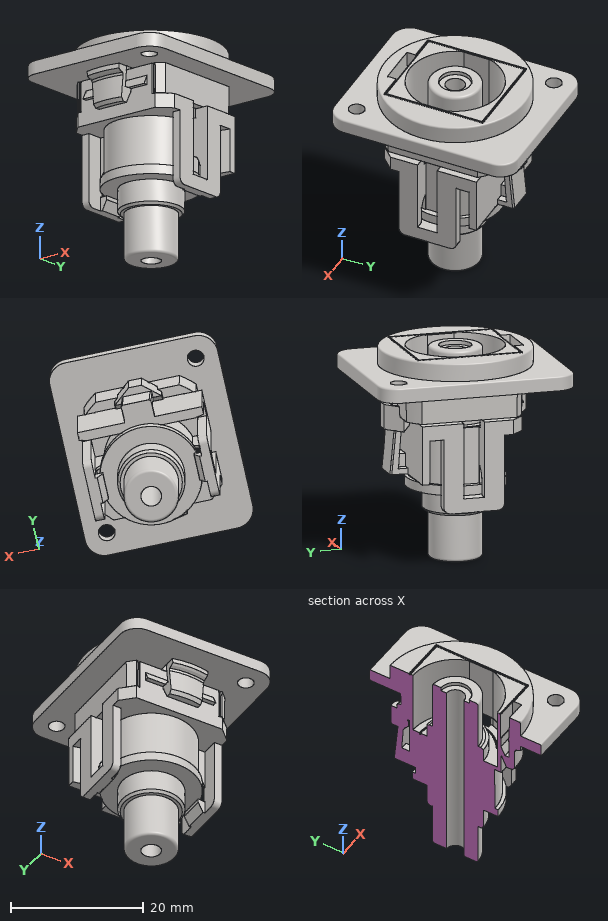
import cadquery as cq
import math


plate_x = 26.0
plate_y = 31.0
plate_thickness = 2.28
plate_corner_radius = 3.0
plate_edge_fillet = 0.3
disc_diameter = 23.63
disc_edge_fillet = 0.3
total_height = 33.0
top_z = 5.05
bottom_z = top_z - total_height
screw_hole_diameter = 2.5
screw_hole_x = 9.5
screw_hole_y = 11.98

housing_half_x = 8.7
housing_back_y = 9.87
housing_corner = 1.12
housing_depth = 4.75
housing_draft = 1.2
carrier_half_x = 9.65
carrier_half_y = 8.25
carrier_corner = 2.05
carrier_top_z = -4.85
carrier_bottom_z = -7.15
front_face_half_x = 6.95
front_groove_width = 0.35
front_groove_depth = 0.33

recess_radius = 7.6
recess_half_x = 7.3
recess_floor_z = -6.27
seam_half_x = 7.6
seam_half_y = 8.3
seam_width = 0.23
seam_depth = 0.15
ring_radius = 6.35
ring_width = 0.2
ring_depth = 0.33
ring_gap_half_angle = 33.0

post_diameter = 8.3
post_top_fillet = 0.5
post_bottom_fillet = 0.45
collar_diameter = 10.2
collar_chamfer = 0.4
collar_shoulder_width = 0.5
collar_shoulder_height = 0.23
collar_bottom_z = -20.5
collar_top_z = -3.95
barrel_radius = 7.15
barrel_flange_diameter = 15.5
barrel_flange_top_z = -15.08
barrel_flange_bottom_z = -16.6
bore_diameter = 3.1
counterbore_diameter = 5.0
counterbore_depth = 0.63

leg_thickness = 1.4
leg_half_width = 4.82
leg_bottom_z = -18.8
leg_corner_radius = 1.05
leg_slot_half_width = 1.65
leg_slot_inner_x = 6.75
leg_inner_x = carrier_half_x - leg_thickness
leg_hook_inner_x = 7.05
leg_hook_flat = 0.63
leg_hook_tip_x = leg_inner_x - 0.33
gusset_half_width = 2.05
gusset_round_radius = 1.7
gusset_round_x = 6.4

back_wall_side_y = 7.03
back_wall_inner_y = 6.73
back_wall_bottom_z = -13.95
lever_half_width = 2.3
lever_foot_back_y = 11.02
lever_foot_inner_y = 9.75
lever_foot_top_z = -13.07
lever_neck_back_y = 10.35
lever_top_back_y = 10.13
lever_edge_chamfer = 0.23
lever_web_half_width = lever_half_width / 2
lever_web_top_z = -11.02
latch_head_half_width = 3.63
latch_head_top_z = -3.2
latch_head_bottom_z = -7.05
latch_head_back_y = 11.58
latch_head_front_y = 9.3
latch_head_slant = 2.65
latch_tooth_edge_y = 8.4
latch_tooth_top_y = 8.58
latch_tooth_ramp_z = -6.0
latch_tip_half_width = 1.98
latch_tip_front_y = 9.4
latch_tip_back_y = 10.55
latch_tip_top_z = -2.15
latch_tip_chamfer_y = 0.35
latch_tip_chamfer_z = 0.5

ledge_half_width = 6.0
ledge_top_z = -1.7
ledge_bottom_z = -3.2
ledge_reach = 0.73
hook_top_half_width = 3.15
hook_bottom_half_width = 2.7
hook_bottom_z = -5.58
hook_opening_half_width = 3.35
hook_opening_start_y = -8.2
hook_opening_end_y = -9.77
hook_opening_draft = 2.5
hook_inner_y = -9.65
hook_bulge_axis_y = 1.65
hook_root_y = -11.8
hook_root_bottom_z = -0.75
hook_step_y = -11.42
hook_step_z = -1.02
hook_arm_y = -10.72
hook_arm_bevel = 0.15
hook_arm_top_z = -1.55
hook_arm_bottom_z = -5.0
hook_toe_outer_y = -10.23
hook_toe_inner_y = -9.17
hook_ramp_top_z = -3.6


def box(x0, x1, y0, y1, z0, z1):
    """Axis-aligned block between two corners."""
    return cq.Workplane("XY").box(x1 - x0, y1 - y0, z1 - z0, centered=False).translate((x0, y0, z0))


def cylinder(radius, z0, z1):
    """Cylinder on the socket axis."""
    return cq.Workplane("XY").workplane(offset=z0).circle(radius).extrude(z1 - z0)


def along_x(points, half_width):
    """Prism across X from an outline of (y, z) points."""
    return cq.Workplane("YZ").polyline(points).close().extrude(half_width, both=True)


def both_sides(solid):
    """The solid together with its mirror image in X."""
    return solid.union(solid.mirror("YZ"))


def make_flange():
    plate = box(-plate_x / 2, plate_x / 2, -plate_y / 2, plate_y / 2, 0, plate_thickness)
    plate = plate.edges("|Z").fillet(plate_corner_radius)
    plate = plate.faces(">Z").edges().fillet(plate_edge_fillet)
    disc = cylinder(disc_diameter / 2, 0, top_z).faces(">Z").edges().fillet(disc_edge_fillet)
    corners = [(-screw_hole_x, screw_hole_y), (screw_hole_x, -screw_hole_y)]
    holes = cq.Workplane("XY").pushPoints(corners).circle(screw_hole_diameter / 2).extrude(plate_thickness)
    return plate.union(disc).cut(holes)


def make_housing():
    radius = disc_diameter / 2
    side_y = math.sqrt(radius**2 - housing_half_x**2)
    back_x = math.sqrt(radius**2 - housing_back_y**2)
    middle_angle = (math.atan2(side_y, housing_half_x) + math.atan2(housing_back_y, back_x)) / 2
    middle_x = radius * math.cos(middle_angle)
    middle_y = radius * math.sin(middle_angle)
    front_x = housing_half_x - housing_corner
    chamfer_y = -carrier_half_y + housing_corner
    housing = (
        cq.Workplane("XY")
        .moveTo(-front_x, -carrier_half_y)
        .lineTo(front_x, -carrier_half_y)
        .lineTo(housing_half_x, chamfer_y)
        .lineTo(housing_half_x, side_y)
        .threePointArc((middle_x, middle_y), (back_x, housing_back_y))
        .lineTo(-back_x, housing_back_y)
        .threePointArc((-middle_x, middle_y), (-housing_half_x, side_y))
        .lineTo(-housing_half_x, chamfer_y)
        .close()
        .extrude(-housing_depth, taper=housing_draft)
    )
    groove = box(
        front_face_half_x, front_face_half_x + front_groove_width,
        -carrier_half_y, -carrier_half_y + front_groove_depth, -housing_depth, 0,
    )
    insert = box(
        -front_face_half_x, front_face_half_x, -carrier_half_y, carrier_half_y, carrier_top_z, 0
    )
    return housing.cut(both_sides(groove)).union(insert)


def make_carrier():
    block = box(
        -carrier_half_x, carrier_half_x, -carrier_half_y, carrier_half_y, carrier_bottom_z, carrier_top_z
    )
    block = block.edges("|Z and <Y").chamfer(carrier_corner)
    back_wall = (
        cq.Workplane("XY")
        .workplane(offset=back_wall_bottom_z)
        .polyline(
            [
                (-carrier_half_x, carrier_half_y),
                (-carrier_half_x, back_wall_side_y),
                (-leg_inner_x, back_wall_inner_y),
                (leg_inner_x, back_wall_inner_y),
                (carrier_half_x, back_wall_side_y),
                (carrier_half_x, carrier_half_y),
            ]
        )
        .close()
        .extrude(carrier_bottom_z - back_wall_bottom_z)
    )
    return block.union(back_wall)


def make_leg():
    leg = box(
        leg_inner_x, carrier_half_x, -leg_half_width, leg_half_width, leg_bottom_z, carrier_bottom_z
    )
    leg = leg.edges("|X and <Z").fillet(leg_corner_radius)
    hook_outline = [
        (leg_inner_x, barrel_flange_bottom_z),
        (leg_hook_inner_x, barrel_flange_bottom_z),
        (leg_hook_inner_x, barrel_flange_bottom_z - leg_hook_flat),
        (leg_hook_tip_x, leg_bottom_z),
        (leg_inner_x, leg_bottom_z),
    ]
    hook = cq.Workplane("XZ").polyline(hook_outline).close().extrude(gusset_half_width, both=True)
    gusset = box(
        leg_slot_inner_x, leg_inner_x, -gusset_half_width, gusset_half_width,
        back_wall_bottom_z, carrier_bottom_z,
    )
    gusset_round = (
        cq.Workplane("XZ")
        .center(gusset_round_x, back_wall_bottom_z)
        .circle(gusset_round_radius)
        .extrude(gusset_half_width, both=True)
    )
    return leg.union(hook).union(gusset.cut(gusset_round))


def make_leg_slot():
    return box(
        leg_slot_inner_x, carrier_half_x, -leg_slot_half_width, leg_slot_half_width,
        barrel_flange_bottom_z, carrier_top_z,
    )


def make_latch():
    lever = along_x(
        [
            (carrier_half_y, back_wall_bottom_z),
            (lever_foot_back_y, back_wall_bottom_z),
            (lever_neck_back_y, latch_head_bottom_z),
            (lever_top_back_y, latch_head_top_z),
            (latch_head_front_y, latch_head_top_z),
            (latch_head_front_y, latch_head_bottom_z),
            (lever_foot_inner_y, lever_foot_top_z),
            (carrier_half_y, lever_foot_top_z),
        ],
        lever_half_width,
    )
    lever = lever.faces(">Y").edges("not |X").chamfer(lever_edge_chamfer)
    web = box(
        -lever_web_half_width, lever_web_half_width, carrier_half_y, lever_foot_inner_y,
        lever_foot_top_z, lever_web_top_z,
    )
    head_back_half_width = latch_head_half_width - latch_head_slant
    head_outline = [
        (-latch_head_half_width, latch_head_front_y),
        (latch_head_half_width, latch_head_front_y),
        (head_back_half_width, latch_head_back_y),
        (-head_back_half_width, latch_head_back_y),
    ]
    head = (
        cq.Workplane("XY")
        .workplane(offset=latch_head_bottom_z)
        .polyline(head_outline)
        .close()
        .extrude(latch_head_top_z - latch_head_bottom_z)
    )
    tooth = along_x(
        [
            (latch_head_front_y, latch_head_bottom_z),
            (latch_tooth_edge_y, latch_tooth_ramp_z),
            (latch_tooth_edge_y, carrier_top_z),
            (latch_tooth_top_y, carrier_top_z),
            (latch_tooth_top_y, latch_head_top_z),
            (latch_head_front_y, latch_head_top_z),
        ],
        latch_head_half_width,
    )
    tip = along_x(
        [
            (latch_tip_front_y, latch_head_top_z),
            (latch_tip_front_y, latch_tip_top_z),
            (latch_tip_back_y - latch_tip_chamfer_y, latch_tip_top_z),
            (latch_tip_back_y, latch_tip_top_z - latch_tip_chamfer_z),
            (latch_tip_back_y, latch_head_top_z),
        ],
        latch_tip_half_width,
    )
    return lever.union(web).union(head).union(tooth).union(tip)


def make_spring_hook():
    inside = along_x(
        [
            (hook_inner_y, 0),
            (-plate_y / 2, 0),
            (-plate_y / 2, hook_bottom_z),
            (hook_toe_inner_y, hook_bottom_z),
            (-carrier_half_y, hook_ramp_top_z),
            (-carrier_half_y, ledge_bottom_z),
            (hook_inner_y, ledge_bottom_z),
        ],
        hook_top_half_width,
    )
    outer_profile = [
        (hook_bulge_axis_y, 0),
        (hook_root_y, 0),
        (hook_root_y, hook_root_bottom_z),
        (hook_step_y, hook_step_z),
        (hook_arm_y - hook_arm_bevel, hook_step_z - hook_arm_bevel),
        (hook_arm_y, hook_arm_top_z),
        (hook_arm_y, hook_arm_bottom_z),
        (hook_toe_outer_y, hook_bottom_z),
        (hook_bulge_axis_y, hook_bottom_z),
    ]
    outside = (
        cq.Workplane("YZ").polyline(outer_profile).close()
        .revolve(360, (hook_bulge_axis_y, 0), (hook_bulge_axis_y, 1))
    )
    tapered_sides = (
        cq.Workplane("XZ")
        .polyline(
            [
                (-hook_top_half_width, 0),
                (hook_top_half_width, 0),
                (hook_bottom_half_width, hook_bottom_z),
                (-hook_bottom_half_width, hook_bottom_z),
            ]
        )
        .close()
        .extrude(plate_y / 2)
    )
    return inside.intersect(outside).intersect(tapered_sides)


def make_ledge():
    outline = [
        (-carrier_half_y, ledge_top_z),
        (-carrier_half_y - ledge_reach, ledge_bottom_z),
        (-carrier_half_y, ledge_bottom_z),
    ]
    return along_x(outline, ledge_half_width)


def make_hook_opening():
    """Opening that narrows downwards, except for its straight wall on the insert side."""
    mirrored_length = 2 * (hook_opening_start_y - hook_opening_end_y)
    opening = (
        cq.Workplane("XY")
        .workplane(offset=top_z)
        .center(0, hook_opening_start_y)
        .rect(2 * hook_opening_half_width, mirrored_length)
        .extrude(-top_z, taper=hook_opening_draft)
    )
    outer_half = box(-plate_x / 2, plate_x / 2, -plate_y / 2, hook_opening_start_y, 0, top_z)
    return opening.intersect(outer_half)


def make_recess():
    flats = box(-recess_half_x, recess_half_x, -recess_radius, recess_radius, recess_floor_z, top_z)
    return cylinder(recess_radius, recess_floor_z, top_z).intersect(flats)


def make_seam():
    """Shallow rectangular groove around the insert on the front face."""
    z0 = top_z - seam_depth
    inner_x = seam_half_x - seam_width
    inner_y = seam_half_y - seam_width
    outer = box(-seam_half_x, seam_half_x, -seam_half_y, seam_half_y, z0, top_z)
    return outer.cut(box(-inner_x, inner_x, -inner_y, inner_y, z0, top_z))


def make_ring_groove():
    """C-shaped groove in the recess floor, open towards -Y."""
    z0 = recess_floor_z - ring_depth
    outer_radius = ring_radius + ring_width / 2
    ring = cylinder(outer_radius, z0, recess_floor_z)
    ring = ring.cut(cylinder(outer_radius - ring_width, z0, recess_floor_z))
    gap_x = recess_radius * math.tan(math.radians(ring_gap_half_angle))
    gap = (
        cq.Workplane("XY")
        .workplane(offset=z0)
        .polyline([(0, 0), (-gap_x, -recess_radius), (gap_x, -recess_radius)])
        .close()
        .extrude(ring_depth)
    )
    return ring.cut(gap)


def make_core():
    post = cylinder(post_diameter / 2, bottom_z, top_z)
    post = post.faces(">Z").edges().fillet(post_top_fillet)
    post = post.faces("<Z").edges().fillet(post_bottom_fillet)
    collar = cylinder(collar_diameter / 2, collar_bottom_z, collar_top_z)
    collar = collar.faces("<Z").edges().chamfer(collar_chamfer)
    shoulder = cq.Workplane("XY").add(
        cq.Solid.makeCone(
            collar_diameter / 2,
            collar_diameter / 2 - collar_shoulder_width,
            collar_shoulder_height,
            pnt=cq.Vector(0, 0, collar_top_z),
        )
    )
    return post.union(collar).union(shoulder)


def make_bore():
    counterbore = cylinder(counterbore_diameter / 2, top_z - counterbore_depth, top_z)
    return cylinder(bore_diameter / 2, bottom_z, top_z).union(counterbore)


barrel = cylinder(barrel_radius, barrel_flange_top_z, carrier_bottom_z)
barrel_flange = cylinder(barrel_flange_diameter / 2, barrel_flange_bottom_z, barrel_flange_top_z)

shell = make_flange().union(make_housing()).union(make_carrier())
shell = shell.union(both_sides(make_leg())).union(barrel)
shell = shell.cut(make_hook_opening())
shell = shell.union(make_ledge()).union(make_spring_hook()).union(make_latch())
shell = shell.cut(make_recess()).cut(make_seam()).cut(make_ring_groove())
shell = shell.cut(both_sides(make_leg_slot()))

result = shell.union(barrel_flange).union(make_core()).cut(make_bore())